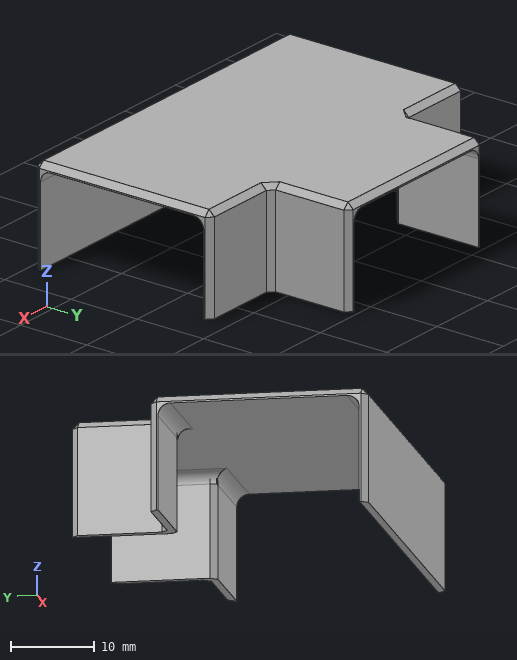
import cadquery as cq

run_length = 50.4
channel_width = 26.6
total_depth = 38.5
height = 14.1
wall = 1.0
edge_chamfer = 0.8
inner_bevel = 0.8
inner_fillet = 1.5

front_y = -total_depth / 2
back_y = total_depth / 2
run_center_y = front_y + channel_width / 2
run_back_y = front_y + channel_width
cavity_width = channel_width - 2 * wall
cavity_height = height - wall
rim_z = height - edge_chamfer


def triangle(x, y, leg_x, leg_y, z):
    """Right triangle at height z, its square corner at (x, y) and its legs along X and Y."""
    corners = [(x, y), (x + leg_x, y), (x, y + leg_y)]
    return cq.Workplane("XY").workplane(offset=z).polyline(corners).close()


def flat_face(*points):
    vectors = [cq.Vector(*point) for point in points]
    return cq.Face.makeFromWires(cq.Wire.makePolygon(vectors, close=True))


def corner_cutter(x, y, leg_x, leg_y):
    """Material to remove at an outside corner; the legs point into the part."""
    column = triangle(x, y, leg_x, leg_y, 0).extrude(rim_z)
    corner = (x, y, rim_z)
    along_x = (x + leg_x, y, rim_z)
    along_y = (x, y + leg_y, rim_z)
    apex = (x + leg_x, y + leg_y, height)
    faces = [
        flat_face(corner, along_x, along_y),
        flat_face(corner, along_x, apex),
        flat_face(corner, along_y, apex),
        flat_face(along_x, along_y, apex),
    ]
    tip = cq.Solid.makeSolid(cq.Shell.makeShell(faces))
    return column, cq.Workplane("XY").add(tip)


def corner_web(x, y, leg_x, leg_y):
    """Web filling an inside corner; the legs point away from the part."""
    column = triangle(x, y, leg_x, leg_y, 0).extrude(rim_z)
    roof_triangle = triangle(x - leg_x, y - leg_y, 2 * leg_x, 2 * leg_y, height).wire().val()
    rim_triangle = triangle(x, y, leg_x, leg_y, rim_z).wire().val()
    flare = cq.Solid.makeLoft([rim_triangle, roof_triangle], True)
    return column, cq.Workplane("XY").add(flare)


def outer_body():
    """Solid tee with a chamfered rim, bevelled outside corners and webbed inside corners."""
    run = cq.Workplane("XY").box(run_length, channel_width, height, centered=(True, True, False))
    branch = cq.Workplane("XY").box(channel_width, total_depth, height, centered=(True, True, False))
    tee = run.translate((0, run_center_y, 0)).union(branch, clean=True)
    tee = tee.faces(">Z").edges().chamfer(edge_chamfer)

    for side in (-1, 1):
        run_x = side * run_length / 2
        branch_x = side * channel_width / 2
        leg_x = -side * edge_chamfer
        for web in corner_web(branch_x, run_back_y, -leg_x, edge_chamfer):
            tee = tee.union(web)
        outside_corners = [
            (run_x, front_y, edge_chamfer),
            (run_x, run_back_y, -edge_chamfer),
            (branch_x, back_y, -edge_chamfer),
        ]
        for x, y, leg_y in outside_corners:
            for cutter in corner_cutter(x, y, leg_x, leg_y):
                tee = tee.cut(cutter)
    return tee


def run_cavity():
    """Channel along X, through both ends of the run."""
    channel = cq.Workplane("XY").box(run_length, cavity_width, cavity_height, centered=(True, True, False))
    return channel.edges("|X and >Z").fillet(inner_fillet).translate((0, run_center_y, 0))


def branch_cavity():
    """Channel along Y, from the middle of the run out through the branch end."""
    length = back_y - run_center_y
    channel = cq.Workplane("XY").box(cavity_width, length, cavity_height, centered=(True, False, False))
    return channel.edges("|Y and >Z").fillet(inner_fillet).translate((0, run_center_y, 0))


def cavity_corner_bevel(side):
    """Bevel on the wall corner between the two cavities, on the given side of the branch."""
    x = side * cavity_width / 2
    y = run_back_y - wall
    return triangle(x, y, side * inner_bevel, inner_bevel, 0).extrude(cavity_height)


result = outer_body().cut(run_cavity()).cut(branch_cavity())
for side in (-1, 1):
    result = result.cut(cavity_corner_bevel(side))